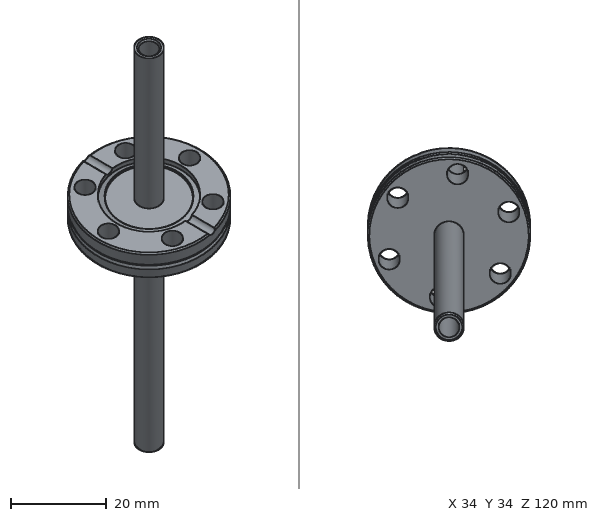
import cadquery as cq

total_length = 120.0
tube_below = 67.8
tube_diameter = 6.2
bore_diameter = 4.3
tube_end_chamfer = 0.4
bore_mouth_chamfer = 0.4

flange_diameter = 34.0
flange_thickness = 7.5
rim_chamfer = 0.4
rim_groove_width = 1.5
rim_groove_depth = 0.4
rim_groove_height = 3.5

recess_diameter = 21.4
recess_depth = 1.3
knife_diameter = 18.6
knife_drop = 0.6
floor_depth = 1.0
floor_diameter = 18.2

bolt_count = 6
bolt_circle_diameter = 27.0
bolt_hole_diameter = 4.5

leak_groove_width = 2.2
leak_groove_depth = 0.7
leak_groove_angle = 30

flange_radius = flange_diameter / 2
tube_radius = tube_diameter / 2


def make_flange():
    """Revolve the disc, its rim V-groove and the recess with the knife edge."""
    recess_radius = recess_diameter / 2
    knife_radius = knife_diameter / 2
    floor_z = flange_thickness - floor_depth
    profile = (
        cq.Workplane("XZ")
        .moveTo(0, 0)
        .lineTo(flange_radius - rim_chamfer, 0)
        .lineTo(flange_radius, rim_chamfer)
        .lineTo(flange_radius, rim_groove_height - rim_groove_width / 2)
        .lineTo(flange_radius - rim_groove_depth, rim_groove_height)
        .lineTo(flange_radius, rim_groove_height + rim_groove_width / 2)
        .lineTo(flange_radius, flange_thickness - rim_chamfer)
        .lineTo(flange_radius - rim_chamfer, flange_thickness)
        .lineTo(recess_radius, flange_thickness)
        .lineTo(recess_radius, flange_thickness - recess_depth)
        .lineTo(knife_radius, flange_thickness - knife_drop)
        .lineTo(floor_diameter / 2, floor_z)
        .lineTo(0, floor_z)
        .close()
    )
    return profile.revolve(360, (0, 0, 0), (0, 1, 0))


def make_bolt_holes():
    return (
        cq.Workplane("XY")
        .polarArray(bolt_circle_diameter / 2, 0, 360, bolt_count)
        .circle(bolt_hole_diameter / 2)
        .extrude(flange_thickness)
    )


def make_leak_groove(angle):
    """Round-bottomed channel from the recess wall out through the rim."""
    half_width = leak_groove_width / 2
    start = (recess_diameter + knife_diameter) / 4
    channel = (
        cq.Workplane("YZ", origin=(start, 0, flange_thickness))
        .moveTo(-half_width, 0)
        .threePointArc((0, -leak_groove_depth), (half_width, 0))
        .close()
        .extrude(flange_radius - start)
    )
    recess = cq.Workplane("XY").circle(recess_diameter / 2).extrude(flange_thickness)
    return channel.cut(recess).rotate((0, 0, 0), (0, 0, 1), angle)


def make_tube():
    return (
        cq.Workplane("XY", origin=(0, 0, -tube_below))
        .circle(tube_radius)
        .extrude(total_length)
        .faces("<Z")
        .chamfer(tube_end_chamfer)
    )


def make_bore():
    """Through bore, flared at the upper end of the tube."""
    straight = (
        cq.Workplane("XY", origin=(0, 0, -tube_below))
        .circle(bore_diameter / 2)
        .extrude(total_length)
    )
    mouth = (
        cq.Workplane("XY", origin=(0, 0, total_length - tube_below))
        .circle(bore_diameter / 2 + bore_mouth_chamfer)
        .extrude(-bore_mouth_chamfer, taper=45)
    )
    return straight.union(mouth)


flange = make_flange().cut(make_bolt_holes())
for angle in (leak_groove_angle, leak_groove_angle + 180):
    flange = flange.cut(make_leak_groove(angle))

result = flange.union(make_tube()).cut(make_bore())